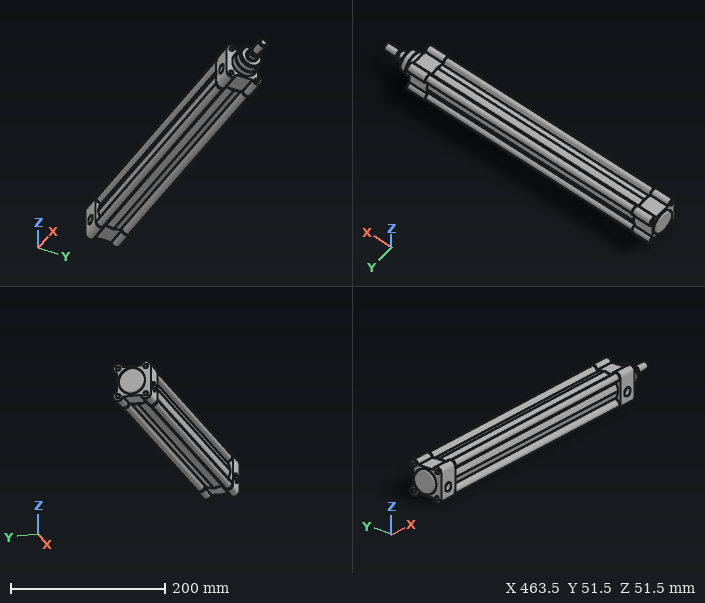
import cadquery as cq
import math


BOSS_LENGTH = 3.5
CAP_LENGTH = 30.0
BARREL_START = BOSS_LENGTH + CAP_LENGTH
FRONT_CAP_START = 378.5
FRONT_CAP_END = FRONT_CAP_START + CAP_LENGTH
ROD_END = 463.5

CAP_WIDTH = 51.5
HALF_WIDTH = CAP_WIDTH / 2
CORNER_RADIUS = 7.0
CORNER_OFFSET = HALF_WIDTH - CORNER_RADIUS
RECESSED_FACE = 20.5
SCREW_HOLE_RADIUS = 3.0
SCREW_HOLE_DEPTH = 14.0
PORT_RADIUS = 6.0
PORT_DEPTH = 9.5
PORT_Z = -5.5
PORT_INSET = 15.0

BOSS_RADIUS = 17.5
BOSS_FILLET = 2.5
COLLAR_LENGTH = 9.5
NOSE_RADIUS = 16.0
NOSE_LENGTH = 11.0
NOSE_CHAMFER = 2.0
GLAND_LENGTH = 3.0
NOSE_START = FRONT_CAP_END + COLLAR_LENGTH

TUBE_RADIUS = 22.0
RIDGE_HALF_ANGLE = math.radians(13)
TUBE_ARC_END = 10.5
LOBE_DIAMETER = 11.5
LOBE_RADIUS = LOBE_DIAMETER / 2

ROD_RADIUS = 8.0
SHANK_START = NOSE_START + NOSE_LENGTH + GLAND_LENGTH
SHANK_END = 439.0
FLAT_START = 433.0
FLAT_OFFSET = 7.0
NECK_RADIUS = 5.0
THREAD_START = 441.0
THREAD_RADIUS = 6.0
THREAD_CHAMFER = 1.5


def cylinder(start, length, radius):
    """Round bar along X, centred on the cylinder axis."""
    return cq.Workplane("YZ", origin=(start, 0, 0)).circle(radius).extrude(length)


def make_cap(start, outer_face, inward):
    """End cap with a flat -Y port side and recessed sides between its corner lobes."""
    section = cq.Workplane("YZ", origin=(start, 0, 0))
    corners = [(y, z) for y in (-CORNER_OFFSET, CORNER_OFFSET) for z in (-CORNER_OFFSET, CORNER_OFFSET)]
    core = section.rect(2 * RECESSED_FACE, 2 * RECESSED_FACE).extrude(CAP_LENGTH)
    lobes = section.pushPoints(corners).circle(CORNER_RADIUS).extrude(CAP_LENGTH)
    port_side = (
        section.center(-CORNER_OFFSET - CORNER_RADIUS / 2, 0)
        .rect(CORNER_RADIUS, 2 * CORNER_OFFSET)
        .extrude(CAP_LENGTH)
    )
    screw_holes = (
        cq.Workplane("YZ", origin=(outer_face, 0, 0))
        .pushPoints(corners)
        .circle(SCREW_HOLE_RADIUS)
        .extrude(inward * SCREW_HOLE_DEPTH)
    )
    port = (
        cq.Workplane("XZ", origin=(outer_face + inward * PORT_INSET, -HALF_WIDTH, PORT_Z))
        .circle(PORT_RADIUS)
        .extrude(-PORT_DEPTH)
    )
    return core.union(lobes).union(port_side).cut(screw_holes).cut(port)


def make_rear_cap():
    """Cap whose rear face carries a centring boss with a rounded rim."""
    boss = cylinder(0, BOSS_LENGTH, BOSS_RADIUS).faces("<X").fillet(BOSS_FILLET)
    return make_cap(BOSS_LENGTH, BOSS_LENGTH, 1).union(boss)


def make_front_cap():
    """Cap whose front face carries a collar, a chamfered nose and a short gland."""
    collar = cylinder(FRONT_CAP_END, COLLAR_LENGTH, BOSS_RADIUS)
    nose = cylinder(NOSE_START, NOSE_LENGTH, NOSE_RADIUS).faces(">X").chamfer(NOSE_CHAMFER)
    gland = cylinder(NOSE_START + NOSE_LENGTH, GLAND_LENGTH, ROD_RADIUS)
    return make_cap(FRONT_CAP_START, FRONT_CAP_END, -1).union(collar).union(nose).union(gland)


def polar(centre, radius, angle):
    """Point of a (y, z) circle, with the angle measured from +Z towards +Y."""
    return (centre[0] + radius * math.sin(angle), centre[1] + radius * math.cos(angle))


def quarter_turned(point, turns):
    """The (y, z) point turned about X from the +Z side towards the +Y side."""
    y, z = point
    for _ in range(turns):
        y, z = z, -y
    return (y, z)


def make_barrel():
    """Solid profile: each side is a ridged tube arc between two corner lobes."""
    axis = (0, 0)
    lobe_centre = (CORNER_OFFSET, CORNER_OFFSET)
    ridge = TUBE_RADIUS / math.cos(RIDGE_HALF_ANGLE)
    ridge_foot = polar(axis, TUBE_RADIUS, RIDGE_HALF_ANGLE)
    tube_end_angle = math.asin(TUBE_ARC_END / TUBE_RADIUS)
    tube_middle = polar(axis, TUBE_RADIUS, (RIDGE_HALF_ANGLE + tube_end_angle) / 2)
    tube_end = polar(axis, TUBE_RADIUS, tube_end_angle)

    side_gap = CORNER_OFFSET - tube_end[0]
    rise = CORNER_OFFSET - tube_end[1]
    hollow_radius = (side_gap**2 + rise**2 - LOBE_RADIUS**2) / (2 * (LOBE_RADIUS + rise))
    hollow_centre = (tube_end[0], tube_end[1] + hollow_radius)
    lobe_direction = math.atan2(side_gap, lobe_centre[1] - hollow_centre[1])
    lobe_start = polar(hollow_centre, hollow_radius, lobe_direction)
    hollow_middle = polar(hollow_centre, hollow_radius, (lobe_direction + math.pi) / 2)
    lobe_tip = polar(lobe_centre, LOBE_RADIUS, math.pi / 4)

    profile = cq.Workplane("YZ", origin=(BARREL_START, 0, 0)).moveTo(0, ridge)
    for turns in range(4):
        half = [ridge_foot, tube_middle, tube_end, hollow_middle, lobe_start]
        there = [quarter_turned((y, z), turns) for y, z in half]
        back = [quarter_turned((z, y), turns) for y, z in half]
        profile = (
            profile.lineTo(*there[0])
            .threePointArc(there[1], there[2])
            .threePointArc(there[3], there[4])
            .threePointArc(quarter_turned(lobe_tip, turns), back[4])
            .threePointArc(back[3], back[2])
            .threePointArc(back[1], back[0])
            .lineTo(*quarter_turned((ridge, 0), turns))
        )
    return profile.close().extrude(FRONT_CAP_START - BARREL_START)


def make_rod():
    """Rod end standing on the gland, with two wrench flats, a neck and a threaded end."""
    shank = cylinder(SHANK_START, SHANK_END - SHANK_START, ROD_RADIUS)
    flat_length = SHANK_END - FLAT_START
    for side in (-1, 1):
        flat_cut = cq.Workplane("XY").box(flat_length, ROD_RADIUS, 2 * ROD_RADIUS).translate(
            ((FLAT_START + SHANK_END) / 2, side * (FLAT_OFFSET + ROD_RADIUS / 2), 0)
        )
        shank = shank.cut(flat_cut)
    neck = cylinder(SHANK_END, THREAD_START - SHANK_END, NECK_RADIUS)
    thread = cylinder(THREAD_START, ROD_END - THREAD_START, THREAD_RADIUS)
    thread = thread.faces("<X or >X").chamfer(THREAD_CHAMFER)
    return shank.union(neck).union(thread)


rear_cap = make_rear_cap()
barrel = make_barrel()
front_cap = make_front_cap()
rod = make_rod()

result = cq.Compound.makeCompound([rear_cap.val(), barrel.val(), front_cap.val(), rod.val()])